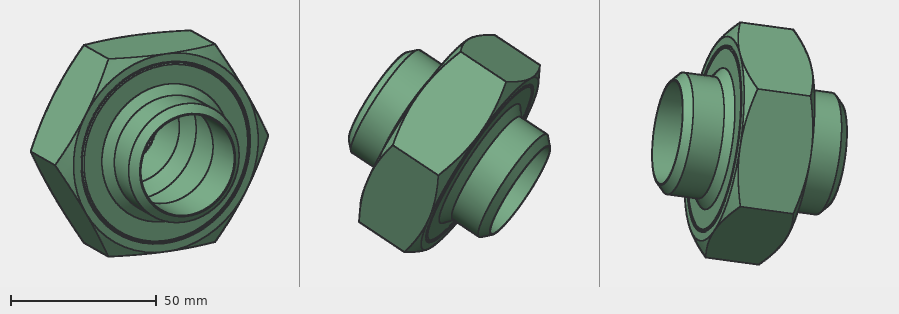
import cadquery as cq
import math


overall_length = 59.0
half_length = overall_length / 2

hex_corner_diameter = 81.8
hex_flat_radius = hex_corner_diameter / 2 * math.cos(math.radians(30))
nut_width = 25.4
nut_half_width = nut_width / 2
nut_chamfer_angle = 30.0
cone_clearance = 0.8

pipe_radius = 21.2
weld_chamfer = 2.9
shoulder_start = 15.55
shoulder_radius = 24.55

bore_radius = 17.9
chamber_radius = 22.25
chamber_cone_start = 13.1
chamber_half_length = chamber_cone_start - (chamber_radius - bore_radius)

joint_outer_radius = 32.4
joint_inner_radius = 31.9
joint_depth = 0.5


def revolve_about_x(points):
    """Revolve a closed (x, radius) outline a full turn around the X axis."""
    return cq.Workplane("XY").polyline(points).close().revolve(360, (0, 0, 0), (1, 0, 0))


def mirrored(half_points):
    """Complete an (x, radius) outline given from the -X end to the middle, and close it on the axis."""
    other_half = [(-x, radius) for x, radius in reversed(half_points)]
    return half_points + other_half


def make_nut():
    prism = (
        cq.Workplane("YZ")
        .polygon(6, hex_corner_diameter)
        .extrude(nut_half_width, both=True)
    )
    cone_end_radius = hex_corner_diameter / 2 + cone_clearance
    cone_length = (cone_end_radius - hex_flat_radius) * math.tan(math.radians(nut_chamfer_angle))
    envelope = revolve_about_x(mirrored([
        (-nut_half_width, 0),
        (-nut_half_width, hex_flat_radius),
        (-nut_half_width + cone_length, cone_end_radius),
    ]))
    return prism.intersect(envelope)


def make_body():
    return revolve_about_x(mirrored([
        (-half_length, 0),
        (-half_length, pipe_radius - weld_chamfer),
        (-half_length + weld_chamfer, pipe_radius),
        (-shoulder_start, pipe_radius),
        (-nut_half_width, shoulder_radius),
    ]))


def make_bore():
    return revolve_about_x(mirrored([
        (-half_length, 0),
        (-half_length, bore_radius),
        (-chamber_cone_start, bore_radius),
        (-chamber_half_length, chamber_radius),
    ]))


def make_joint(side):
    """Ring groove with a flat floor and a 45 degree inner wall; side is -1 or +1 along X."""
    face = side * nut_half_width
    floor = side * (nut_half_width - joint_depth)
    return revolve_about_x([
        (face, joint_inner_radius - joint_depth),
        (face, joint_outer_radius),
        (floor, joint_outer_radius),
        (floor, joint_inner_radius),
    ])


result = make_nut().union(make_body()).cut(make_bore())
for side in (-1, 1):
    result = result.cut(make_joint(side))